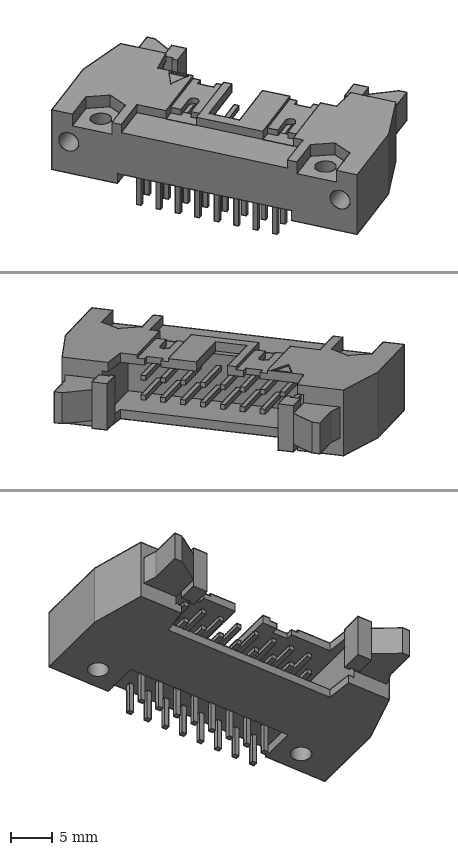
import cadquery as cq

BODY_WIDTH = 39.9
BODY_HEIGHT = 8.5
HALF_WIDTH = BODY_WIDTH / 2
SHROUD_Y = 13.75
WING_Y = 17.31
TAPER_START_Y = 10.1
WING_OUTER_X = 17.97
WING_INNER_X = 12.07
WING_ROOT_X = 11.7

WALL = 1.2
CAVITY_BACK_Y = 7.3
CAVITY_HEIGHT = BODY_HEIGHT - 2 * WALL
CAVITY_CEILING_Z = BODY_HEIGHT - WALL
MID_Z = BODY_HEIGHT / 2

SHELF_WIDTH = 21.7
SHELF_LENGTH = 5.0
SHELF_DEPTH = 1.15
UNDERCUT_WIDTH = 22.75
UNDERCUT_HEIGHT = 1.4

KEY_WIDTH = 4.0
KEY_BACK_Y = 6.4

CHANNEL_WIDTH = 4.0
CHANNEL_CENTERS = (-5.06, 7.59)
CHANNEL_DEPTH = 0.4
CHANNEL_STEP_Y = 6.55
SLOT_WIDTH = 1.3
SLOT_END_Y = 9.6
NOTCH_WIDTH = 2.1
NOTCH_LENGTH = 0.9

MARK_CENTER_X = -8.85
MARK_WIDTH = 2.55
MARK_BASE_Y = 13.46
MARK_TIP_Y = 11.0
MARK_DEPTH = 0.2

HOLE_DIAMETER = 2.6
MOUNT_X = 14.67
MOUNT_Y = 2.82
POCKET_WIDTH = 5.15
POCKET_SIDE_Y = 4.33
POCKET_APEX_Y = 5.8
POCKET_DEPTH = 1.67
REAR_HOLE_X = 17.73
REAR_HOLE_Z = 4.45
REAR_HOLE_DEPTH = 5.0

PITCH = 2.54
PIN_COLUMNS = 8
PIN_SIZE = 0.62
TAIL_LENGTH = 2.9
TAIL_FIRST_ROW_Y = 1.06
TAIL_ROWS_Y = (TAIL_FIRST_ROW_Y, TAIL_FIRST_ROW_Y + PITCH)
PIN_TIP_Y = 13.46
PIN_EMBED = 1.0

LATCH_THICKNESS = 4.0
LATCH_TIP_Y = 23.3
LATCH_OUTER_X = 16.97
LATCH_TIP_X = 15.95
LATCH_INNER_X = 12.87
LATCH_BEND_Y = 19.15
LATCH_ROOT_X = 17.55
LATCH_ROOT_Y = 16.35
HOOK_INNER_X = 10.92
HOOK_LIP_X = 11.6
HOOK_TOP_Y = 21.16
HOOK_BOTTOM_Y = 18.5
HOOK_LIP_Y = 18.2
HOOK_HEIGHT = 6.0


def block(x0, x1, y0, y1, z0, z1):
    """Box between two opposite corners."""
    return cq.Workplane("XY").box(x1 - x0, y1 - y0, z1 - z0, centered=False).translate((x0, y0, z0))


def prism(points, z0, z1):
    """Polygon in XY extruded from z0 to z1."""
    return cq.Workplane("XY").workplane(offset=z0).polyline(points).close().extrude(z1 - z0)


def with_mirror(shape):
    """Shape together with its reflection across the YZ plane."""
    return shape.union(shape.mirror("YZ"))


def make_body():
    right_side = [
        (HALF_WIDTH, 0),
        (HALF_WIDTH, TAPER_START_Y),
        (WING_OUTER_X, WING_Y),
        (WING_INNER_X, WING_Y),
        (WING_ROOT_X, SHROUD_Y),
    ]
    left_side = [(-x, y) for x, y in reversed(right_side)]
    return prism(right_side + left_side, 0, BODY_HEIGHT)


def make_cavity():
    return block(
        -LATCH_INNER_X, LATCH_INNER_X, CAVITY_BACK_Y, WING_Y, WALL, WALL + CAVITY_HEIGHT
    )


def make_rear_steps():
    half_shelf = SHELF_WIDTH / 2
    half_undercut = UNDERCUT_WIDTH / 2
    shelf = block(-half_shelf, half_shelf, 0, SHELF_LENGTH, BODY_HEIGHT - SHELF_DEPTH, BODY_HEIGHT)
    undercut = block(-half_undercut, half_undercut, 0, SHELF_LENGTH, 0, UNDERCUT_HEIGHT)
    return shelf.union(undercut)


def make_key_slot():
    return block(-KEY_WIDTH / 2, KEY_WIDTH / 2, KEY_BACK_Y, SHROUD_Y, CAVITY_CEILING_Z, BODY_HEIGHT)


def make_channel(center_x):
    """Shallow channel, its deeper rear end, the round-ended slot and the front notch."""
    x0 = center_x - CHANNEL_WIDTH / 2
    x1 = center_x + CHANNEL_WIDTH / 2
    slot_radius = SLOT_WIDTH / 2
    slot_arc_y = SLOT_END_Y - slot_radius
    channel = block(x0, x1, SHELF_LENGTH, SHROUD_Y, BODY_HEIGHT - CHANNEL_DEPTH, BODY_HEIGHT)
    rear_end = block(x0, x1, SHELF_LENGTH, CHANNEL_STEP_Y, CAVITY_CEILING_Z, BODY_HEIGHT)
    slot = (
        cq.Workplane("XY")
        .workplane(offset=CAVITY_CEILING_Z)
        .moveTo(center_x - slot_radius, CHANNEL_STEP_Y)
        .lineTo(center_x + slot_radius, CHANNEL_STEP_Y)
        .lineTo(center_x + slot_radius, slot_arc_y)
        .threePointArc((center_x, SLOT_END_Y), (center_x - slot_radius, slot_arc_y))
        .close()
        .extrude(WALL)
    )
    notch = block(
        center_x - NOTCH_WIDTH / 2,
        center_x + NOTCH_WIDTH / 2,
        SHROUD_Y - NOTCH_LENGTH,
        SHROUD_Y,
        CAVITY_CEILING_Z,
        BODY_HEIGHT,
    )
    return channel.union(rear_end).union(slot).union(notch)


def make_pin_one_mark():
    triangle = [
        (MARK_CENTER_X - MARK_WIDTH / 2, MARK_BASE_Y),
        (MARK_CENTER_X + MARK_WIDTH / 2, MARK_BASE_Y),
        (MARK_CENTER_X, MARK_TIP_Y),
    ]
    return prism(triangle, BODY_HEIGHT - MARK_DEPTH, BODY_HEIGHT)


def make_mounting_cuts():
    """Pointed pocket with a vertical through hole, and a blind rear hole, at both ends."""
    x0 = MOUNT_X - POCKET_WIDTH / 2
    x1 = MOUNT_X + POCKET_WIDTH / 2
    outline = [(x0, 0), (x1, 0), (x1, POCKET_SIDE_Y), (MOUNT_X, POCKET_APEX_Y), (x0, POCKET_SIDE_Y)]
    pocket = prism(outline, BODY_HEIGHT - POCKET_DEPTH, BODY_HEIGHT)
    radius = HOLE_DIAMETER / 2
    through_hole = cq.Workplane("XY").center(MOUNT_X, MOUNT_Y).circle(radius).extrude(BODY_HEIGHT)
    rear_hole = (
        cq.Workplane("XZ").center(REAR_HOLE_X, REAR_HOLE_Z).circle(radius).extrude(-REAR_HOLE_DEPTH)
    )
    return with_mirror(pocket.union(through_hole).union(rear_hole))


def add_pins(housing):
    """Two rows of solder tails below and two rows of contacts inside the cavity."""
    half = PIN_SIZE / 2
    for column in range(PIN_COLUMNS):
        x = (column - (PIN_COLUMNS - 1) / 2) * PITCH
        for y in TAIL_ROWS_Y:
            tail_top_z = UNDERCUT_HEIGHT + PIN_EMBED
            housing = housing.union(block(x - half, x + half, y - half, y + half, -TAIL_LENGTH, tail_top_z))
        for z in (MID_Z - PITCH / 2, MID_Z + PITCH / 2):
            contact_root_y = CAVITY_BACK_Y - PIN_EMBED
            housing = housing.union(block(x - half, x + half, contact_root_y, PIN_TIP_Y, z - half, z + half))
    return housing


def make_latches():
    """Ejector levers standing out of the wings, each with a hook facing inward."""
    lever_outline = [
        (LATCH_INNER_X, LATCH_ROOT_Y),
        (LATCH_ROOT_X, LATCH_ROOT_Y),
        (LATCH_ROOT_X, WING_Y),
        (LATCH_OUTER_X, LATCH_BEND_Y),
        (LATCH_OUTER_X, LATCH_TIP_Y),
        (LATCH_TIP_X, LATCH_TIP_Y),
        (LATCH_INNER_X, HOOK_TOP_Y),
    ]
    hook_outline = [
        (LATCH_INNER_X, HOOK_TOP_Y),
        (HOOK_INNER_X, HOOK_TOP_Y),
        (HOOK_INNER_X, HOOK_LIP_Y),
        (HOOK_LIP_X, HOOK_LIP_Y),
        (HOOK_LIP_X, HOOK_BOTTOM_Y),
        (LATCH_INNER_X, HOOK_BOTTOM_Y),
    ]
    lever = prism(lever_outline, MID_Z - LATCH_THICKNESS / 2, MID_Z + LATCH_THICKNESS / 2)
    hook = prism(hook_outline, MID_Z - HOOK_HEIGHT / 2, MID_Z + HOOK_HEIGHT / 2)
    return with_mirror(lever.union(hook))


housing = make_body()
housing = housing.cut(make_cavity())
housing = housing.cut(make_rear_steps())
housing = housing.cut(make_key_slot())
for channel_x in CHANNEL_CENTERS:
    housing = housing.cut(make_channel(channel_x))
housing = housing.cut(make_pin_one_mark())
housing = housing.cut(make_mounting_cuts())

result = add_pins(housing).union(make_latches())